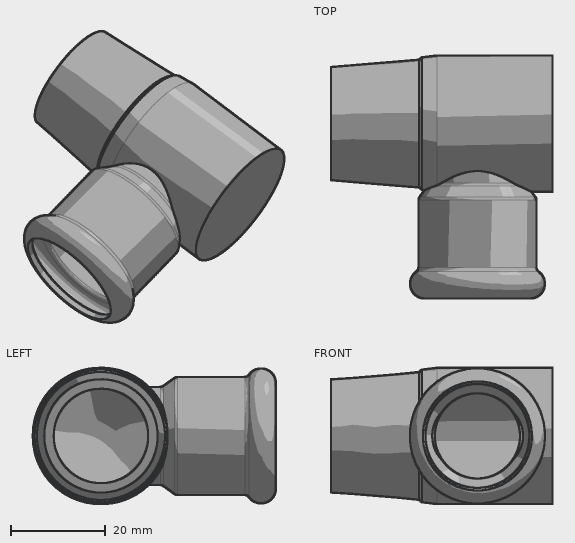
import cadquery as cq
import math


barrel_radius = 14.45
total_length = 46.91
barrel_end = 15.91
spigot_end = barrel_end - total_length
spigot_length = 18.65
spigot_tip_radius = 12.0
spigot_root_radius = 13.55
shoulder_length = 0.6
shoulder_radius = 14.05
lead_in_length = 3.25
run_bore_radius = 10.0
run_bore_end = 10.0
bore_cone_depth = 3.85

wall = 1.5
branch_length = 37.0
neck_radius = 10.4
port_radius = 9.0
socket_bore_radius = 11.0
socket_radius = socket_bore_radius + wall
flare_start = 12.9
flare_end = 15.85
bend_radius = 1.1

flare_angle = math.atan2(socket_radius - neck_radius, flare_end - flare_start)
bore_flare_shift = wall * math.tan(flare_angle / 2)
bore_flare_end = flare_end + bore_flare_shift
bore_flare_start = bore_flare_end - (socket_bore_radius - port_radius) / math.tan(flare_angle)

bead_radius = 3.15
bead_crest_radius = 14.3
bead_center_radius = bead_crest_radius - bead_radius
mouth_radius = 11.55
bead_center_distance = branch_length - math.sqrt(bead_radius**2 - (mouth_radius - bead_center_radius) ** 2)
groove_radius = bead_radius - wall
bead_blend_radius = 1.05

INBOARD = -1
OUTBOARD = 1


def revolve_run(profile):
    """Turn a closed (x, radius) profile about the X axis."""
    return profile.close().revolve(360, (0, 0, 0), (1, 0, 0))


def revolve_branch(profile):
    """Turn a closed (radius, distance) profile about the Y axis."""
    return profile.close().revolve(360, (0, 0, 0), (0, 1, 0))


def run_body():
    shoulder_start = spigot_end + spigot_length
    lead_in_start = shoulder_start + shoulder_length
    profile = (
        cq.Workplane("XY")
        .moveTo(spigot_end, 0)
        .lineTo(spigot_end, spigot_tip_radius)
        .lineTo(shoulder_start, spigot_root_radius)
        .lineTo(lead_in_start, shoulder_radius)
        .lineTo(lead_in_start + lead_in_length, barrel_radius)
        .lineTo(barrel_end, barrel_radius)
        .lineTo(barrel_end, 0)
    )
    return revolve_run(profile)


def run_bore():
    """Blind bore from the spigot tip, ending in a drill-point cone."""
    profile = (
        cq.Workplane("XY")
        .moveTo(spigot_end, 0)
        .lineTo(spigot_end, run_bore_radius)
        .lineTo(run_bore_end, run_bore_radius)
        .lineTo(run_bore_end + bore_cone_depth, 0)
    )
    return revolve_run(profile)


def circles_at(distance):
    """Selector for circular edges of the branch at a given distance from the run axis."""
    margin = 0.01
    reach = 2 * branch_length
    return cq.selectors.BoxSelector(
        (-reach, -distance - margin, -reach), (reach, -distance + margin, reach), boundingbox=True
    )


def flared_tube(small_radius, large_radius, start, end):
    """Solid stepped plug up to the bead center, widening from start to end with both bends rounded."""
    profile = (
        cq.Workplane("XY")
        .lineTo(small_radius, 0)
        .lineTo(small_radius, -start)
        .lineTo(large_radius, -end)
        .lineTo(large_radius, -bead_center_distance)
        .lineTo(0, -bead_center_distance)
    )
    tube = revolve_branch(profile)
    for distance in (start, end):
        tube = tube.edges(circles_at(distance)).fillet(bend_radius)
    return tube


def roll_meeting_distance(roll_radius, tube_radius, side):
    """Distance from the run axis at which the bead roll crosses a cylinder; side is INBOARD or OUTBOARD."""
    return bead_center_distance + side * math.sqrt(roll_radius**2 - (tube_radius - bead_center_radius) ** 2)


def rolled_disc(roll_radius, inboard_radius):
    """Disc whose rim is an arc of the bead roll, from a cylinder on the inboard side to the mouth edge."""
    inboard = roll_meeting_distance(roll_radius, inboard_radius, INBOARD)
    outboard = roll_meeting_distance(roll_radius, mouth_radius, OUTBOARD)
    profile = (
        cq.Workplane("XY")
        .moveTo(0, -inboard)
        .lineTo(inboard_radius, -inboard)
        .threePointArc((bead_center_radius + roll_radius, -bead_center_distance), (mouth_radius, -outboard))
        .lineTo(0, -outboard)
    )
    return revolve_branch(profile)


def add_roll(tube, tube_radius, roll_radius):
    """Join a roll to the mouth end of a tube and blend its inboard corner."""
    root = roll_meeting_distance(roll_radius, tube_radius, INBOARD)
    return tube.union(rolled_disc(roll_radius, tube_radius)).edges(circles_at(root)).fillet(bead_blend_radius)


def branch_body():
    tube = flared_tube(neck_radius, socket_radius, flare_start, flare_end)
    return add_roll(tube, socket_radius, bead_radius)


def branch_bore():
    """Flared bore with the seal groove under the bead and a short cylindrical land at the mouth."""
    tube = flared_tube(port_radius, socket_bore_radius, bore_flare_start, bore_flare_end)
    bore = add_roll(tube, socket_bore_radius, groove_radius)
    land = cq.Workplane("XZ", origin=(0, -bead_center_distance, 0)).circle(mouth_radius).extrude(bead_radius)
    return bore.union(land)


def port():
    """Round hole joining the branch bore to the run bore."""
    return cq.Workplane("XZ").circle(port_radius).extrude(branch_length)


branch = branch_body().cut(branch_bore())
result = run_body().union(branch).cut(run_bore()).cut(port())